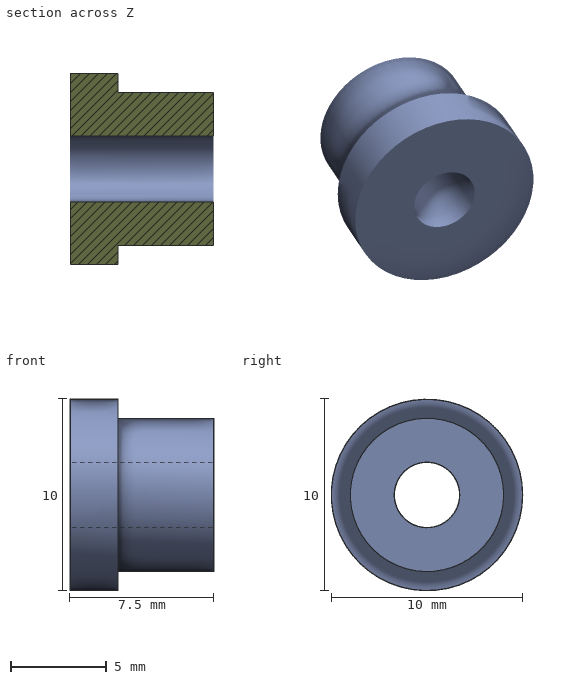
import cadquery as cq

flange_diameter = 10.0
flange_thickness = 2.5
body_diameter = 8.0
body_length = 5.0
bore_diameter = 3.4

total_length = flange_thickness + body_length


def cylinder_along_x(diameter, length):
    """Solid cylinder on the X axis, starting at X = 0."""
    return cq.Workplane("YZ").circle(diameter / 2).extrude(length)


flange = cylinder_along_x(flange_diameter, flange_thickness)
body = cylinder_along_x(body_diameter, total_length)

bore = cylinder_along_x(bore_diameter, total_length)

result = flange.union(body).cut(bore)